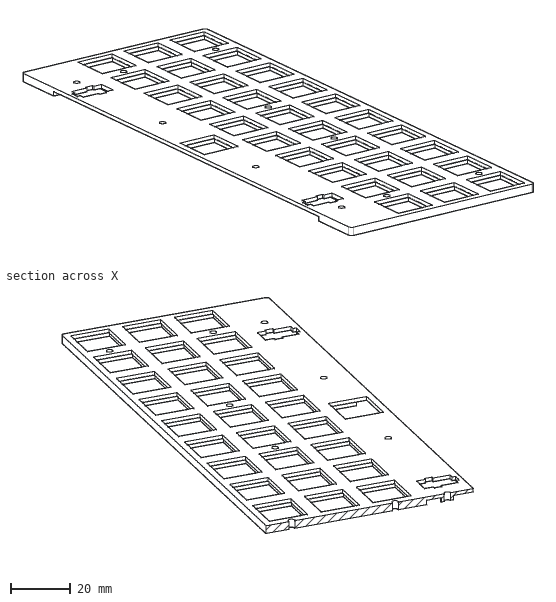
import cadquery as cq

key_pitch = 19.05
columns = 10
key_rows = 3
grid_rows = key_rows + 1
length = columns * key_pitch
width = grid_rows * key_pitch
thickness = 3.0
web_thickness = 1.4
recess_depth = thickness - web_thickness
corner_radius = 1.25
switch_opening = 14.0
spacebar_y = -(grid_rows - 1) / 2 * key_pitch

relief_size = 15.0

screw_diameter = 2.2
outer_screw_x = 4 * key_pitch
inner_screw_x = key_pitch
spacebar_inner_screw_x = 27.0

stabiliser_x = 3.5 * key_pitch
stabiliser_width = 6.65
stabiliser_top = 5.53
stabiliser_bottom = -6.77
wing_span = 8.3
wing_top = 2.3
wing_bottom = -0.5
notch_width = 3.05
notch_bottom = -7.97

front_y = -width / 2
wire_channel_back = spacebar_y - 3.5
housing_width = 20.0
housing_inner_x = stabiliser_x - housing_width / 2
housing_outer_x = stabiliser_x + housing_width / 2
housing_back = spacebar_y + relief_size / 2

spacebar_outer_screw_x = housing_outer_x
boss_diameter = 4.6



def box(x_min, x_max, y_min, y_max, z_min=0.0, z_max=thickness):
    """Axis-aligned box given by its limits."""
    return cq.Workplane("XY").box(
        x_max - x_min, y_max - y_min, z_max - z_min, centered=False
    ).translate((x_min, y_min, z_min))


def key_positions():
    """Centres of all key openings, the spacebar last."""
    positions = []
    for row in range(key_rows):
        y = ((grid_rows - 1) / 2 - row) * key_pitch
        for column in range(columns):
            x = (column - (columns - 1) / 2) * key_pitch
            positions.append((x, y))
    positions.append((0.0, spacebar_y))
    return positions


def screw_positions():
    """Centres of all screw holes, mirrored about X = 0."""
    right_side = [
        (outer_screw_x, 1.5 * key_pitch),
        (inner_screw_x, 0.5 * key_pitch),
        (outer_screw_x, -0.5 * key_pitch),
        (spacebar_outer_screw_x, spacebar_y),
        (spacebar_inner_screw_x, spacebar_y),
    ]
    return [(side * x, y) for side in (-1, 1) for x, y in right_side]


def stabiliser_opening(x):
    """Through opening for one stabiliser: body, side wings and front notch."""
    y = spacebar_y
    left = x - stabiliser_width / 2
    right = x + stabiliser_width / 2
    body = box(left, right, y + stabiliser_bottom, y + stabiliser_top)
    wings = box(x - wing_span / 2, x + wing_span / 2, y + wing_bottom, y + wing_top)
    notch = box(x - notch_width / 2, x + notch_width / 2, y + notch_bottom, y + stabiliser_bottom)
    return body.union(wings).union(notch)


def underside_recess():
    """Wire channel along the front edge, deeper in Y at both housings, leaving the outer screw bosses."""
    recess = box(-housing_outer_x, housing_outer_x, front_y, wire_channel_back, 0.0, recess_depth)
    for x_min in (-housing_outer_x, housing_inner_x):
        recess = recess.union(box(x_min, x_min + housing_width, front_y, housing_back, 0.0, recess_depth))
    boss_centres = [(side * spacebar_outer_screw_x, spacebar_y) for side in (-1, 1)]
    bosses = cq.Workplane("XY").pushPoints(boss_centres).circle(boss_diameter / 2).extrude(recess_depth)
    return recess.cut(bosses)


def key_openings():
    """Square through openings for all keys, each with a wider clip relief on the underside."""
    openings = cq.Workplane("XY").pushPoints(key_positions()).rect(switch_opening, switch_opening)
    reliefs = cq.Workplane("XY").pushPoints(key_positions()).rect(relief_size, relief_size)
    return openings.extrude(thickness).union(reliefs.extrude(recess_depth))


def screw_holes():
    """Through holes for all screws."""
    return cq.Workplane("XY").pushPoints(screw_positions()).circle(screw_diameter / 2).extrude(thickness)


def plate_blank():
    """Solid plate with rounded corners, standing on Z = 0."""
    blank = cq.Workplane("XY").box(length, width, thickness, centered=(True, True, False))
    return blank.edges("|Z").fillet(corner_radius)


result = plate_blank()
result = result.cut(key_openings())
result = result.cut(underside_recess())
for stabiliser_side in (-1, 1):
    result = result.cut(stabiliser_opening(stabiliser_side * stabiliser_x))
result = result.cut(screw_holes())